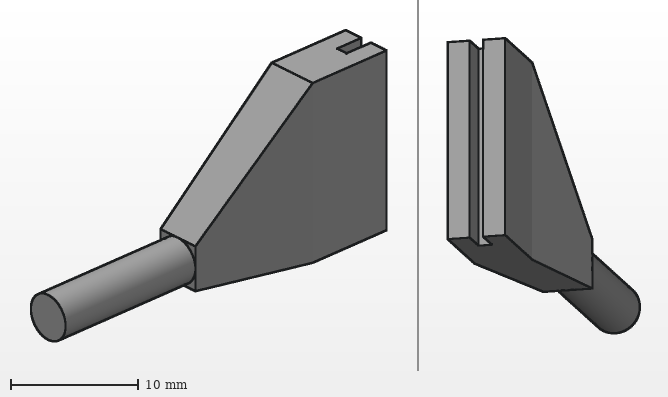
import cadquery as cq

total_length = 32.0
total_width = 6.85
blade_height = 16.0

blade_length = 8.0
blade_width = 4.7

shank_diameter = 4.0
neck_length = 10.0

slot_width = 1.1
slot_depth = 2.62

blade_start = total_length - blade_length
neck_start = blade_start - neck_length
blade_left = total_width - blade_width
blade_middle = blade_left + blade_width / 2
shank_radius = shank_diameter / 2


def make_blade_and_neck():
    """Intersect the plan outline with the side outline, giving flat walls and a sloping neck top."""
    plan = (
        cq.Workplane("XY")
        .polyline([
            (0, neck_start),
            (shank_diameter, neck_start),
            (total_width, blade_start),
            (total_width, total_length),
            (blade_left, total_length),
            (blade_left, blade_start),
        ])
        .close()
        .extrude(blade_height)
    )
    side = (
        cq.Workplane("YZ")
        .polyline([
            (neck_start, 0),
            (total_length, 0),
            (total_length, blade_height),
            (blade_start, blade_height),
            (neck_start, shank_diameter),
        ])
        .close()
        .extrude(total_width)
    )
    return plan.intersect(side)


def make_shank():
    """Cylinder along Y, inscribed in the square front end of the neck."""
    return (
        cq.Workplane("XZ")
        .center(shank_radius, shank_radius)
        .circle(shank_radius)
        .extrude(-neck_start)
    )


def make_slot():
    """Rectangular cutter, centred across the blade and open at its back end."""
    return (
        cq.Workplane("XY")
        .center(blade_middle, total_length - slot_depth / 2)
        .rect(slot_width, slot_depth)
        .extrude(blade_height)
    )


result = make_blade_and_neck().union(make_shank()).cut(make_slot())